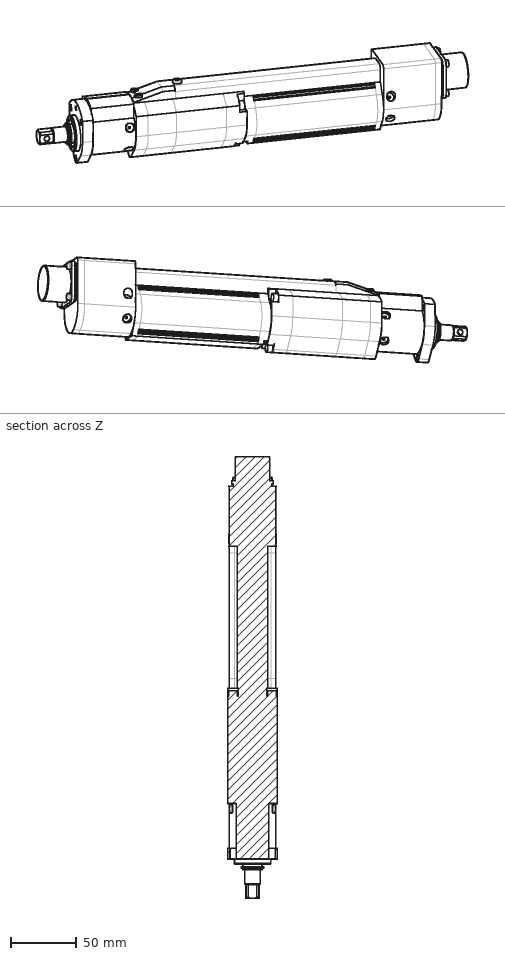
import cadquery as cq
import math


ROD_TIP = -30.0
FLANGE_BACK = 8.5
NOSE_BACK = 42.6
HOUSING_JOINTS = (52.0, 74.4, 114.2)
HOUSING_BACK = 130.8
TUBE_STEP = 134.0
SLOT_FRONT = 138.6
SLOT_BACK = 234.7
BOX_FRONT = 239.5
LID_FRONT = 280.5
BOX_BACK = 285.7
CONNECTOR_END = 308.4

FLANGE_HALF_WIDTH = 19.0
FLANGE_TOP_RADIUS = 25.6
HOUSING_TOP_RADIUS = 25.1
FLANGE_BOTTOM = -24.49
BOLT_CIRCLE_RADIUS = 21.0
BOLT_ANGLES = (45.0, 135.0, 270.0)
BOLT_HOLE_DIAMETER = 4.5
BOLT_HEAD_DIAMETER = 7.0
BOLT_HEAD_HEIGHT = 4.0
NOTCH_DEPTH = 5.7
NOTCH_CLEARANCE = 3.9
BOTTOM_NOTCH_HALF_WIDTH = 6.5
DOWEL_HOLE_DIAMETER = 3.24
DOWEL_HOLE_HEIGHT = 20.5

BODY_RADIUS = 18.0

NOSE_TOP_RADIUS = 27.4
NOSE_HALF_WIDTH = 12.6
NOSE_GROOVE_WIDTH = 1.0
NOSE_GROOVE_DEPTH = 1.5
NOSE_SCREW_ANGLES = (22.5, -45.0)
NOSE_SCREW_Y = 38.6

TUBE_FLANK_HEIGHT = 11.3
TUBE_FACE_SLOPE = 57.0
TUBE_HALF_HEIGHT = 20.5
SLOT_WIDTH = 1.6
SLOT_DEPTH = 3.0
SLOT_REBATE_WIDTH = 3.4
SLOT_REBATE_DEPTH = 0.8
SLOT_HEIGHT = 17.4

CONDUIT_HALF_WIDTH = 8.8
CONDUIT_BOTTOM = 15.0
CONDUIT_TOP = 33.2
CONDUIT_FILLET = 3.6
COVER_BACK = 76.5
COVER_BEND = 66.2
COVER_FRONT_TOP = 26.6
COVER_CHAMFER = 2.8
CONDUIT_SCREW_Y = 80.4
CONDUIT_SCREW_DIAMETER = 7.0
CONDUIT_SCREW_HEIGHT = 2.2
COVER_SCREW_X = 5.6
COVER_SCREW_Y = 48.0
COVER_SCREW_DIAMETER = 5.5
COVER_SCREW_SEAT = 27.2
COVER_SEAT_CLEARANCE = 0.4
COVER_SCREW_HEIGHT = 1.6
BUTTON_HEAD_ROUNDING = 0.6
HEX_SOCKET_SIZE = 2.9
HEX_SOCKET_DEPTH = 1.2

BOX_TOP = 36.5
BOX_FLANK_RADIUS = 20.0
BOX_FLANK_DEPTH = 18.2
BOX_TOP_FILLET = 2.5
BOX_SCREW_ANGLES = (30.0, -30.0)
BOX_SCREW_Y = 245.5

SIDE_RECESS_DIAMETER = 6.9
SIDE_RECESS_DEPTH = 2.6
SIDE_SOCKET_DIAMETER = 1.6
SIDE_SOCKET_DEPTH = 2.0

CONNECTOR_AXIS_Z = 18.0
CONNECTOR_DIAMETER = 27.4
CONNECTOR_PLATE_SIZE = 32.0
CONNECTOR_PLATE_FILLET = 4.0
GASKET_SIZE = 30.0
GASKET_THICKNESS = 1.6
PLATE_THICKNESS = 2.6
CONNECTOR_SCREW_OFFSET = 12.2
CONNECTOR_SCREW_DIAMETER = 5.5
CONNECTOR_SCREW_HEIGHT = 2.7
CONNECTOR_SCREW_FILLET = 1.0
CONNECTOR_CHAMFER = 0.6

PILOT_DIAMETER = 28.0
PILOT_LENGTH = 4.0
PILOT_CHAMFER = 0.8
PILOT_RECESS_DIAMETER = 22.0
PILOT_RECESS_DEPTH = 1.0
SEAL_NECK_DIAMETER = 14.7
SEAL_NECK_END = -8.2
SEAL_LIP_DIAMETER = 17.0
SEAL_LIP_BACK = -5.6
SEAL_LIP_FRONT = -7.0
ROD_DIAMETER = 12.0
ROD_SHOULDER = -19.4
ROD_SHOULDER_CHAMFER = 0.7
ROD_FLATS = 10.0
ROD_TIP_CHAMFER = 0.8
ROD_HOLE_DIAMETER = 4.13
ROD_HOLE_Y = -24.4

DIAGONAL = math.sqrt(0.5)


def section(y):
    """Sketch plane across the machine at station y: sketch x is X, sketch y is Z."""
    return cq.Workplane("XZ", origin=(0, y, 0))


def extruded(sketch, y_start, y_end):
    return sketch(section(y_start)).extrude(y_start - y_end)


def cylinder(diameter, y_start, y_end, x=0.0, z=0.0):
    return section(y_start).center(x, z).circle(diameter / 2).extrude(y_start - y_end)


def block(x_range, y_range, z_range):
    size = [high - low for low, high in (x_range, y_range, z_range)]
    corner = (x_range[0], y_range[0], z_range[0])
    return cq.Workplane("XY").box(*size, centered=False).translate(corner)


def fused(shapes):
    """Join the shapes and keep the joint lines between neighbouring sections."""
    body = shapes[0]
    for shape in shapes[1:]:
        body = body.union(shape, clean=False)
    return body


def bolt_position(angle):
    radians = math.radians(angle)
    return BOLT_CIRCLE_RADIUS * math.cos(radians), BOLT_CIRCLE_RADIUS * math.sin(radians)


def wedge_outline(plane, top_radius):
    """Arched top, straight sides, quarter rounds and a 45 degree wedge with a rounded tip."""
    side = FLANGE_HALF_WIDTH
    shoulder = math.sqrt(top_radius**2 - side**2)
    round_end = side * DIAGONAL
    round_mid_x = side * math.cos(math.pi / 8)
    round_mid_z = -side * math.sin(math.pi / 8)
    wedge_apex = -side / DIAGONAL
    tip_radius = (FLANGE_BOTTOM - wedge_apex) / (1 / DIAGONAL - 1)
    tip_x = tip_radius * DIAGONAL
    tip_z = wedge_apex + tip_x
    return (
        plane.moveTo(side, shoulder)
        .threePointArc((0, top_radius), (-side, shoulder))
        .lineTo(-side, 0)
        .threePointArc((-round_mid_x, round_mid_z), (-round_end, -round_end))
        .lineTo(-tip_x, tip_z)
        .threePointArc((0, FLANGE_BOTTOM), (tip_x, tip_z))
        .lineTo(round_end, -round_end)
        .threePointArc((round_mid_x, round_mid_z), (side, 0))
        .close()
    )


def flange_outline(plane):
    return wedge_outline(plane, FLANGE_TOP_RADIUS)


def housing_outline(plane):
    return wedge_outline(plane, HOUSING_TOP_RADIUS)


def tube_face_x(z):
    """Distance of the upper sloped tube face from the centre plane at height z."""
    flank_x = math.sqrt(BODY_RADIUS**2 - TUBE_FLANK_HEIGHT**2)
    return flank_x - (z - TUBE_FLANK_HEIGHT) / math.tan(math.radians(TUBE_FACE_SLOPE))


def tube_outline(plane):
    """Round flanks carrying sloped faces, cut flat at top and bottom."""
    flank_x = tube_face_x(TUBE_FLANK_HEIGHT)
    flat_x = tube_face_x(TUBE_HALF_HEIGHT)
    return (
        plane.moveTo(flat_x, TUBE_HALF_HEIGHT)
        .lineTo(-flat_x, TUBE_HALF_HEIGHT)
        .lineTo(-flank_x, TUBE_FLANK_HEIGHT)
        .threePointArc((-BODY_RADIUS, 0), (-flank_x, -TUBE_FLANK_HEIGHT))
        .lineTo(-flat_x, -TUBE_HALF_HEIGHT)
        .lineTo(flat_x, -TUBE_HALF_HEIGHT)
        .lineTo(flank_x, -TUBE_FLANK_HEIGHT)
        .threePointArc((BODY_RADIUS, 0), (flank_x, TUBE_FLANK_HEIGHT))
        .close()
    )


def nose_outline(plane):
    """Round body carrying a straight-sided block with an arched top."""
    top_z = math.sqrt(NOSE_TOP_RADIUS**2 - NOSE_HALF_WIDTH**2)
    base_z = math.sqrt(BODY_RADIUS**2 - NOSE_HALF_WIDTH**2)
    return (
        plane.moveTo(NOSE_HALF_WIDTH, top_z)
        .threePointArc((0, NOSE_TOP_RADIUS), (-NOSE_HALF_WIDTH, top_z))
        .lineTo(-NOSE_HALF_WIDTH, base_z)
        .threePointArc((0, -BODY_RADIUS), (NOSE_HALF_WIDTH, base_z))
        .close()
    )


def box_outline(plane):
    """Square top over sides that round inward and meet a smaller bottom arc tangentially."""
    side = BODY_RADIUS
    flank_center = side - BOX_FLANK_RADIUS
    joint_angle = math.asin(BOX_FLANK_DEPTH / BOX_FLANK_RADIUS)
    joint_x = flank_center + BOX_FLANK_RADIUS * math.cos(joint_angle)
    flank_mid_x = flank_center + BOX_FLANK_RADIUS * math.cos(joint_angle / 2)
    flank_mid_z = -BOX_FLANK_RADIUS * math.sin(joint_angle / 2)
    bottom_center = flank_center * math.tan(joint_angle)
    bottom_radius = BOX_FLANK_RADIUS + flank_center / math.cos(joint_angle)
    bottom = bottom_center - bottom_radius
    return (
        plane.moveTo(side, BOX_TOP)
        .lineTo(-side, BOX_TOP)
        .lineTo(-side, 0)
        .threePointArc((-flank_mid_x, flank_mid_z), (-joint_x, -BOX_FLANK_DEPTH))
        .threePointArc((0, bottom), (joint_x, -BOX_FLANK_DEPTH))
        .threePointArc((flank_mid_x, flank_mid_z), (side, 0))
        .close()
    )


def flange():
    plate = extruded(flange_outline, 0, FLANGE_BACK)
    for angle in BOLT_ANGLES:
        x, z = bolt_position(angle)
        plate = plate.cut(cylinder(BOLT_HOLE_DIAMETER, 0, FLANGE_BACK, x, z))
    return plate.cut(cylinder(DOWEL_HOLE_DIAMETER, 0, FLANGE_BACK, 0, DOWEL_HOLE_HEIGHT))


def nose():
    body = extruded(nose_outline, FLANGE_BACK, NOSE_BACK)
    half_groove = NOSE_GROOVE_WIDTH / 2
    groove = block(
        (-half_groove, half_groove),
        (FLANGE_BACK, NOSE_BACK),
        (NOSE_TOP_RADIUS - NOSE_GROOVE_DEPTH, NOSE_TOP_RADIUS),
    )
    return body.cut(groove)


def housing():
    """Motor housing in four sections, with bolt-head notches at its rear end."""
    stations = (NOSE_BACK, *HOUSING_JOINTS, HOUSING_BACK)
    body = fused([extruded(housing_outline, start, end) for start, end in zip(stations, stations[1:])])
    notch_front = HOUSING_BACK - NOTCH_DEPTH
    outside = 2 * HOUSING_TOP_RADIUS
    heads = []
    for angle in BOLT_ANGLES:
        x, z = bolt_position(angle)
        if z < 0:
            x_range = (-BOTTOM_NOTCH_HALF_WIDTH, BOTTOM_NOTCH_HALF_WIDTH)
            z_range = (-outside, z + NOTCH_CLEARANCE)
        else:
            inner_x = abs(x) - NOTCH_CLEARANCE
            x_range = (inner_x, outside) if x > 0 else (-outside, -inner_x)
            z_range = (z - NOTCH_CLEARANCE, outside)
        body = body.cut(block(x_range, (notch_front, HOUSING_BACK), z_range), clean=False)
        heads.append(cylinder(BOLT_HEAD_DIAMETER, notch_front, notch_front + BOLT_HEAD_HEIGHT, x, z))
    return fused([body, *heads])


def tube_slot(width, depth, side, level):
    """Bar that cuts a groove square to the sloped face on the given side and level."""
    length = SLOT_BACK - SLOT_FRONT
    tilt = side * level * (TUBE_FACE_SLOPE - 90)
    center = (side * tube_face_x(SLOT_HEIGHT), SLOT_FRONT + length / 2, level * SLOT_HEIGHT)
    bar = cq.Workplane("XY").box(2 * depth, length, width)
    return bar.rotate((0, 0, 0), (0, 1, 0), tilt).translate(center)


def slotted_tube():
    """Tube with a rebated sensor slot in each of its four sloped faces and plain ends."""
    stations = (HOUSING_BACK, SLOT_FRONT, SLOT_BACK, BOX_FRONT)
    body = fused([extruded(tube_outline, start, end) for start, end in zip(stations, stations[1:])])
    for side in (-1, 1):
        for level in (-1, 1):
            body = body.cut(tube_slot(SLOT_REBATE_WIDTH, SLOT_REBATE_DEPTH, side, level), clean=False)
            body = body.cut(tube_slot(SLOT_WIDTH, SLOT_DEPTH, side, level), clean=False)
    bottom_relief = block(
        (-BODY_RADIUS, BODY_RADIUS), (HOUSING_BACK, TUBE_STEP), (-TUBE_HALF_HEIGHT, -BODY_RADIUS)
    )
    return body.cut(bottom_relief, clean=False)


def round_head(diameter, height):
    """Button screw head standing on Z = 0, with a hex socket in its top."""
    head = cq.Workplane("XY").circle(diameter / 2).extrude(height)
    head = head.faces(">Z").edges().fillet(BUTTON_HEAD_ROUNDING * height)
    socket = cq.Workplane("XY", origin=(0, 0, height)).polygon(6, HEX_SOCKET_SIZE)
    return head.cut(socket.extrude(-HEX_SOCKET_DEPTH))


def conduit():
    channel = block(
        (-CONDUIT_HALF_WIDTH, CONDUIT_HALF_WIDTH),
        (COVER_BACK, BOX_FRONT),
        (CONDUIT_BOTTOM, CONDUIT_TOP),
    )
    channel = channel.faces(">Z").edges("|Y").fillet(CONDUIT_FILLET)
    screw = round_head(CONDUIT_SCREW_DIAMETER, CONDUIT_SCREW_HEIGHT)
    return channel.union(screw.translate((0, CONDUIT_SCREW_Y, CONDUIT_TOP)), clean=False)


def conduit_cover():
    """Bevelled hood sloping down to the nose, with two screws on flat seats at its front."""
    hood = (
        cq.Workplane("YZ", origin=(-CONDUIT_HALF_WIDTH, 0, 0))
        .moveTo(COVER_BACK, CONDUIT_BOTTOM)
        .lineTo(COVER_BACK, CONDUIT_TOP)
        .lineTo(COVER_BEND, CONDUIT_TOP)
        .lineTo(NOSE_BACK, COVER_FRONT_TOP)
        .lineTo(NOSE_BACK, CONDUIT_BOTTOM)
        .close()
        .extrude(2 * CONDUIT_HALF_WIDTH)
    )
    upper_sides = cq.selectors.BoxSelector(
        (-2 * CONDUIT_HALF_WIDTH, NOSE_BACK, COVER_FRONT_TOP),
        (2 * CONDUIT_HALF_WIDTH, COVER_BACK, 2 * CONDUIT_TOP),
    )
    hood = hood.edges(upper_sides).edges("not |X").chamfer(COVER_CHAMFER)
    for side in (-1, 1):
        seat_plane = cq.Workplane("XY", origin=(side * COVER_SCREW_X, COVER_SCREW_Y, COVER_SCREW_SEAT))
        seat = seat_plane.circle(COVER_SCREW_DIAMETER / 2 + COVER_SEAT_CLEARANCE).extrude(CONDUIT_TOP)
        hood = hood.cut(seat)
    for side in (-1, 1):
        screw = round_head(COVER_SCREW_DIAMETER, COVER_SCREW_HEIGHT)
        hood = hood.union(screw.translate((side * COVER_SCREW_X, COVER_SCREW_Y, COVER_SCREW_SEAT)))
    return hood


def rear_box():
    def rounded(y_start, y_end):
        body = extruded(box_outline, y_start, y_end)
        return body.faces(">Z").edges("|Y").fillet(BOX_TOP_FILLET)

    return fused([rounded(BOX_FRONT, LID_FRONT), rounded(LID_FRONT, BOX_BACK)])


def connector():
    def square_plate(size, y_start, y_end):
        plate = section(y_start).center(0, CONNECTOR_AXIS_Z).rect(size, size).extrude(y_start - y_end)
        return plate.edges("|Y").fillet(CONNECTOR_PLATE_FILLET)

    plate_front = BOX_BACK + GASKET_THICKNESS
    plate_back = plate_front + PLATE_THICKNESS
    barrel = cylinder(CONNECTOR_DIAMETER, plate_back, CONNECTOR_END, z=CONNECTOR_AXIS_Z)
    barrel = barrel.faces(">Y").edges().chamfer(CONNECTOR_CHAMFER)
    parts = [
        square_plate(GASKET_SIZE, BOX_BACK, plate_front),
        square_plate(CONNECTOR_PLATE_SIZE, plate_front, plate_back),
        barrel,
    ]
    for x in (-CONNECTOR_SCREW_OFFSET, CONNECTOR_SCREW_OFFSET):
        for z in (-CONNECTOR_SCREW_OFFSET, CONNECTOR_SCREW_OFFSET):
            head_end = plate_back + CONNECTOR_SCREW_HEIGHT
            head = cylinder(CONNECTOR_SCREW_DIAMETER, plate_back, head_end, x, CONNECTOR_AXIS_Z + z)
            parts.append(head.faces(">Y").edges().fillet(CONNECTOR_SCREW_FILLET))
    return fused(parts)


def rod_end():
    pilot = cylinder(PILOT_DIAMETER, -PILOT_LENGTH, 0).faces("<Y").edges().chamfer(PILOT_CHAMFER)
    recess = cylinder(PILOT_RECESS_DIAMETER, -PILOT_LENGTH, PILOT_RECESS_DEPTH - PILOT_LENGTH)
    pilot = pilot.cut(recess)
    neck = cylinder(SEAL_NECK_DIAMETER, SEAL_NECK_END, 0)
    lip = cylinder(SEAL_LIP_DIAMETER, SEAL_LIP_FRONT, SEAL_LIP_BACK)
    rod = cylinder(ROD_DIAMETER, ROD_SHOULDER, 0).faces("<Y").edges().chamfer(ROD_SHOULDER_CHAMFER)
    tip = cylinder(ROD_DIAMETER, ROD_TIP, ROD_SHOULDER).faces("<Y").edges().chamfer(ROD_TIP_CHAMFER)
    half_flats = ROD_FLATS / 2
    square = block((-half_flats, half_flats), (ROD_TIP, ROD_SHOULDER), (-half_flats, half_flats))
    tip = tip.intersect(square)
    cross_hole = (
        cq.Workplane("YZ", origin=(-ROD_DIAMETER, ROD_HOLE_Y, 0))
        .circle(ROD_HOLE_DIAMETER / 2)
        .extrude(2 * ROD_DIAMETER)
    )
    return fused([pilot, neck, lip, rod, tip.cut(cross_hole)])


def add_side_screws(body, y, angles):
    """Sink radial socket screws into both sides of the body at station y."""
    for angle in angles:
        for side in (-1, 1):
            direction = cq.Vector(
                side * math.cos(math.radians(angle)), 0, math.sin(math.radians(angle))
            )
            floor = direction * (BODY_RADIUS - SIDE_RECESS_DEPTH) + cq.Vector(0, y, 0)
            plane = cq.Plane(origin=floor, xDir=(0, 1, 0), normal=direction)
            recess = cq.Workplane(plane).circle(SIDE_RECESS_DIAMETER / 2).extrude(BODY_RADIUS)
            socket = cq.Workplane(plane).circle(SIDE_SOCKET_DIAMETER / 2).extrude(-SIDE_SOCKET_DEPTH)
            body = body.cut(recess, clean=False).cut(socket, clean=False)
    return body


front_nose = add_side_screws(nose(), NOSE_SCREW_Y, NOSE_SCREW_ANGLES)
back_box = add_side_screws(rear_box(), BOX_SCREW_Y, BOX_SCREW_ANGLES)
result = fused(
    [
        flange(),
        rod_end(),
        front_nose,
        housing(),
        slotted_tube(),
        conduit(),
        conduit_cover(),
        back_box,
        connector(),
    ]
)